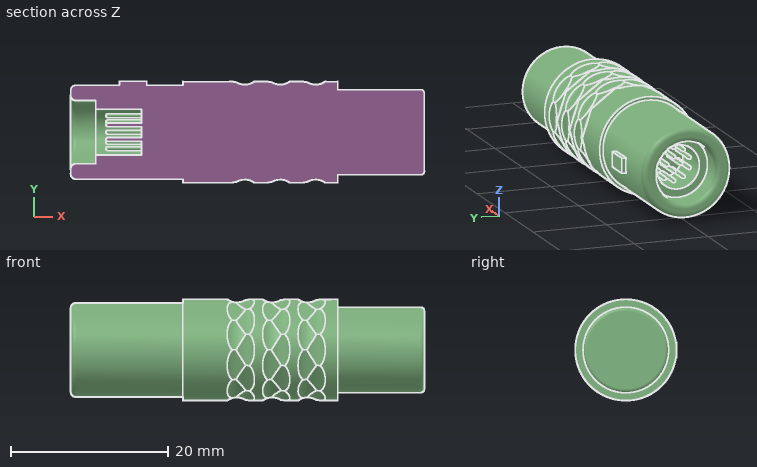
import cadquery as cq
import math

TOTAL_LENGTH = 45.0
NOSE_END = 14.3
GRIP_END = 34.0
NOSE_RADIUS = 6.0
GRIP_RADIUS = 6.45
TAIL_RADIUS = 5.45
NOSE_ROUND = 0.7
TAIL_ROUND = 0.5

ARC_INSET = 1 - math.sqrt(0.5)

MOUTH_RADIUS = 4.0
MOUTH_DEPTH = 3.2
WELL_RADIUS = 2.9
WELL_DEPTH = 9.0

PIN_RADIUS = 0.25
PIN_TIP = 4.5
PIN_EMBED = 0.5
PIN_RINGS = [(10, 2.2), (4, 0.93)]

KEY_START = 6.2
KEY_LENGTH = 3.5
KEY_WIDTH = 2.0
KEY_TOP = 6.49
KEY_SINK = 1.0

BAND_COUNT = 3
BAND_PITCH = 4.5
FIRST_ROW_X = 21.15
ROW_SPACING = 1.0
SCALLOPS_PER_ROW = 10
SCALLOP_RADIUS = 2.1
SCALLOP_FLOOR = 6.05
SCALLOP_STEP = 360.0 / SCALLOPS_PER_ROW


def body():
    """Solid of revolution about X, with the rounded ends."""
    nose_arc = NOSE_ROUND * ARC_INSET
    tail_arc = TAIL_ROUND * ARC_INSET
    profile = (
        cq.Workplane("XY")
        .moveTo(0, 0)
        .lineTo(0, -(NOSE_RADIUS - NOSE_ROUND))
        .threePointArc((nose_arc, -(NOSE_RADIUS - nose_arc)), (NOSE_ROUND, -NOSE_RADIUS))
        .lineTo(NOSE_END, -NOSE_RADIUS)
        .lineTo(NOSE_END, -GRIP_RADIUS)
        .lineTo(GRIP_END, -GRIP_RADIUS)
        .lineTo(GRIP_END, -TAIL_RADIUS)
        .lineTo(TOTAL_LENGTH - TAIL_ROUND, -TAIL_RADIUS)
        .threePointArc(
            (TOTAL_LENGTH - tail_arc, -(TAIL_RADIUS - tail_arc)),
            (TOTAL_LENGTH, -(TAIL_RADIUS - TAIL_ROUND)),
        )
        .lineTo(TOTAL_LENGTH, 0)
        .close()
    )
    return profile.revolve(360, (0, 0, 0), (1, 0, 0))


def socket():
    """Cavity of revolution: rounded mouth, shoulder and contact well."""
    arc = NOSE_ROUND * ARC_INSET
    profile = (
        cq.Workplane("XY")
        .moveTo(0, 0)
        .lineTo(0, -(MOUTH_RADIUS + NOSE_ROUND))
        .threePointArc((arc, -(MOUTH_RADIUS + arc)), (NOSE_ROUND, -MOUTH_RADIUS))
        .lineTo(MOUTH_DEPTH, -MOUTH_RADIUS)
        .lineTo(MOUTH_DEPTH, -WELL_RADIUS)
        .lineTo(WELL_DEPTH, -WELL_RADIUS)
        .lineTo(WELL_DEPTH, 0)
        .close()
    )
    return profile.revolve(360, (0, 0, 0), (1, 0, 0))


def pins():
    """Two concentric rings of round-tipped contact pins, rooted in the well floor."""
    dome_x = PIN_TIP + PIN_RADIUS
    length = WELL_DEPTH + PIN_EMBED - dome_x
    shank = cq.Workplane("YZ", origin=(dome_x, 0, 0)).circle(PIN_RADIUS).extrude(length)
    dome = cq.Workplane("XY", origin=(dome_x, 0, 0)).sphere(PIN_RADIUS)
    pin = shank.union(dome).val()
    placed = []
    for count, radius in PIN_RINGS:
        for i in range(count):
            angle = 2 * math.pi * i / count
            placed.append(pin.translate(cq.Vector(0, radius * math.sin(angle), radius * math.cos(angle))))
    return cq.Workplane("XY").newObject([cq.Compound.makeCompound(placed)])


def latch_key():
    """Small rectangular key proud of the nose on +Y."""
    base_y = NOSE_RADIUS - KEY_SINK
    block = cq.Workplane("XY").box(KEY_LENGTH, KEY_TOP - base_y, KEY_WIDTH, centered=(False, False, True))
    return block.translate((KEY_START, base_y, 0))


def scallop_row(x, first_angle):
    """Ring of cutting cylinders at position x, each lying square to the part axis."""
    length = 2 * GRIP_RADIUS * math.sin(math.radians(SCALLOP_STEP))
    cutter = cq.Solid.makeCylinder(
        SCALLOP_RADIUS,
        length,
        cq.Vector(x, -length / 2, SCALLOP_FLOOR + SCALLOP_RADIUS),
        cq.Vector(0, 1, 0),
    )
    return [
        cutter.rotate(cq.Vector(0, 0, 0), cq.Vector(1, 0, 0), first_angle + i * SCALLOP_STEP)
        for i in range(SCALLOPS_PER_ROW)
    ]


def knurl(part):
    """Cut every band: the second row is turned by half a step."""
    solid = part.val()
    for band in range(BAND_COUNT):
        x = FIRST_ROW_X + band * BAND_PITCH
        solid = solid.cut(*scallop_row(x, 0))
        solid = solid.cut(*scallop_row(x + ROW_SPACING, SCALLOP_STEP / 2))
    return cq.Workplane("XY").newObject([solid])


shell = knurl(body()).union(latch_key()).cut(socket())
result = shell.union(pins())